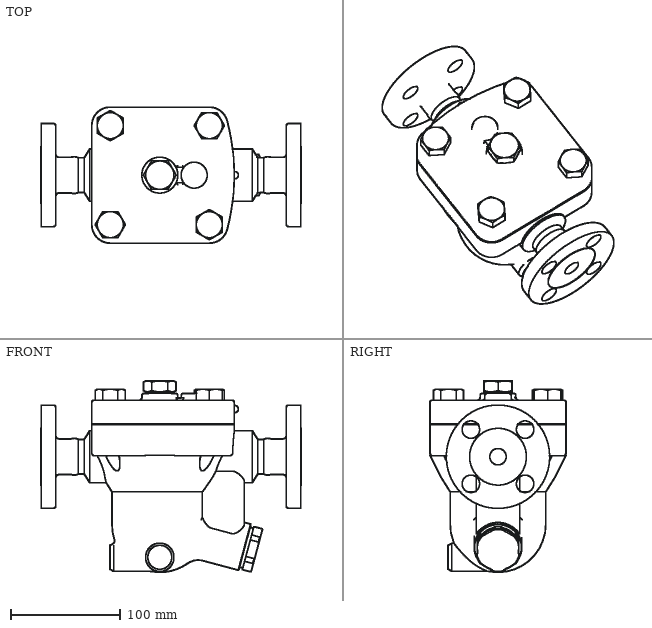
import cadquery as cq
import math

half_length = 119.5

flange_radius = 95.0 / 2
flange_back = 105.6
raised_face_radius = 26.0
raised_face_height = 0.5
flange_edge_fillet = 2.5
bolt_hole_diameter = 16.0
bolt_hole_offset = 24.9
bore_diameter = 15.0

neck_radius = 33.0 / 2
neck_fillet = 2.9
weld_start = 91.5
weld_end = 85.0
weld_bulge = 0.5
stub_radius = 32.0 / 2
boss_cone_start = 79.5
boss_cone_end = 74.5
pipe_boss_radius = 48.0 / 2

bowl_x = -10.3
bowl_radius = 44.0
bowl_sphere_z = -62.1
bowl_top_z = -32.3
funnel_mid_z = -19.1
funnel_top_z = 1.2
funnel_mid_radius = 52.3
funnel_top_radius = 62.4

bolt_half_pitch = 45.5
cover_half_y = 125.0 / 2
cover_corner_radius = cover_half_y - bolt_half_pitch
cover_left = bowl_x - cover_half_y
cover_right = 58.0
cover_top_z = 51.9
cover_bottom_z = 0.7
joint_z = 29.9
joint_gap = 0.7
joint_depth = 1.0
cover_top_fillet = 2.2
cover_bottom_fillet = 3.0

hex_chamfer_angle = math.radians(30)
bolt_head_width = 24.0
bolt_head_height = 10.0
spot_radius = 8.8
spot_depth = 19.1

centre_boss_radius = 33.0 / 2
side_boss_radius = 24.0 / 2
side_boss_x = 21.3
boss_top_z = 58.0
boss_top_fillet = 2.0
boss_foot_fillet = 2.6
bridge_half_width = 7.2
bridge_top_z = 54.0
plug_width = 26.0
plug_base_z = 59.5
plug_top_z = 69.5
plug_neck_radius = 21.0 / 2

pin_radius = 3.3
pin_x = 58.5
pin_z = 43.7

web_half_width = 20.0
web_end_x = 67.5
web_corner_radius = 12.0

drain_tilt = 15.0
drain_radius = 44.0 / 2
drain_length = 80.8
drain_rim_chamfer = 0.5
drain_foot_fillet = 16.7
drain_seal_radius = 38.0 / 2
drain_head_gap = 3.0
drain_head_width = 38.0
drain_head_corner_radius = 20.5
drain_head_height = 8.4
drain_head_chamfer = 0.7

foot_radius = 26.0 / 2
foot_shoulder_radius = 24.0 / 2
foot_face_radius = 22.0 / 2
foot_shoulder = 2.0
foot_bevel = 3.5
foot_z = -92.3
foot_reach = 46.0
foot_root_fillet = 3.0

overlap = 2.5
arc_sag = 1 - math.sqrt(0.5)


def cylinder(radius, z_low, z_high, x=0.0, y=0.0):
    return cq.Workplane("XY", origin=(x, y, z_low)).circle(radius).extrude(z_high - z_low)


def hex_prism(width, height):
    return cq.Workplane("XY").polygon(6, 2 * width / math.sqrt(3)).extrude(height)


def hex_head(width, height, corner_angle, chamfer_bottom=False):
    """Hexagon head standing on Z = 0, with one corner at corner_angle.

    The top is chamfered at 30 degrees, and the bottom too if asked for.
    """
    corner_radius = width / math.sqrt(3)
    drop = (corner_radius - width / 2) * math.tan(hex_chamfer_angle)
    profile = cq.Workplane("XZ").moveTo(0, 0)
    if chamfer_bottom:
        profile = profile.lineTo(width / 2, 0).lineTo(corner_radius, drop)
    else:
        profile = profile.lineTo(corner_radius, 0)
    turned = (
        profile
        .lineTo(corner_radius, height - drop)
        .lineTo(width / 2, height)
        .lineTo(0, height)
        .close()
        .revolve(360, (0, 0, 0), (0, 1, 0))
    )
    head = hex_prism(width, height).intersect(turned)
    return head.rotate((0, 0, 0), (0, 0, 1), corner_angle)


def cover_outline(z, inset=0.0):
    """Rounded rectangle whose +X side bulges as one arc tangent to both corners."""
    r = cover_corner_radius
    corner_y = bolt_half_pitch
    corner_x = bowl_x + bolt_half_pitch
    span = cover_right - corner_x
    bulge_radius = (corner_y**2 + span**2 - r**2) / (2 * (span - r))
    bulge_x = cover_right - bulge_radius
    angle = math.atan2(corner_y, corner_x - bulge_x)
    join = (bulge_x + bulge_radius * math.cos(angle), bulge_radius * math.sin(angle))
    mid = (corner_x + r * math.cos((angle + math.pi / 2) / 2),
           corner_y + r * math.sin((angle + math.pi / 2) / 2))
    left_x = cover_left + r
    diagonal = r * math.sqrt(0.5)
    outline = (
        cq.Workplane("XY", origin=(0, 0, z))
        .moveTo(left_x, -cover_half_y)
        .lineTo(corner_x, -cover_half_y)
        .threePointArc((mid[0], -mid[1]), (join[0], -join[1]))
        .threePointArc((cover_right, 0), join)
        .threePointArc(mid, (corner_x, cover_half_y))
        .lineTo(left_x, cover_half_y)
        .threePointArc((left_x - diagonal, corner_y + diagonal), (cover_left, corner_y))
        .lineTo(cover_left, -corner_y)
        .threePointArc((left_x - diagonal, -corner_y - diagonal), (left_x, -cover_half_y))
        .close()
    )
    return outline.offset2D(-inset) if inset else outline


def block():
    solid = cover_outline(cover_bottom_z).extrude(cover_top_z - cover_bottom_z)
    solid = solid.faces(">Z").edges().fillet(cover_top_fillet)
    solid = solid.faces("<Z").edges().fillet(cover_bottom_fillet)
    joint_low = joint_z - joint_gap / 2
    ring = cover_outline(joint_low).extrude(joint_gap)
    ring = ring.cut(cover_outline(joint_low, joint_depth).extrude(joint_gap))
    return solid.cut(ring)


def bowl():
    barrel = cylinder(bowl_radius, bowl_sphere_z, bowl_top_z, bowl_x)
    ball = cq.Workplane("XY").sphere(bowl_radius).translate((bowl_x, 0, bowl_sphere_z))
    return barrel.union(ball)


def funnel():
    """Two cone frustums widening from the barrel to the cover."""
    return (
        cq.Workplane("XZ")
        .moveTo(0, bowl_top_z)
        .lineTo(bowl_radius, bowl_top_z)
        .lineTo(funnel_mid_radius, funnel_mid_z)
        .lineTo(funnel_top_radius, funnel_top_z)
        .lineTo(0, funnel_top_z)
        .close()
        .revolve(360, (0, 0, 0), (0, 1, 0))
        .translate((bowl_x, 0, 0))
    )


def pipe_end():
    flange_front = half_length - raised_face_height
    fillet_drop = neck_fillet * arc_sag
    edge_drop = flange_edge_fillet * arc_sag
    neck_end = flange_back - neck_fillet
    weld_mid = (weld_start + weld_end) / 2
    solid = (
        cq.Workplane("XY")
        .moveTo(0, 0)
        .lineTo(-half_length, 0)
        .lineTo(-half_length, raised_face_radius)
        .lineTo(-flange_front, raised_face_radius)
        .lineTo(-flange_front, flange_radius)
        .lineTo(-flange_back - flange_edge_fillet, flange_radius)
        .threePointArc(
            (-flange_back - edge_drop, flange_radius - edge_drop),
            (-flange_back, flange_radius - flange_edge_fillet),
        )
        .lineTo(-flange_back, neck_radius + neck_fillet)
        .threePointArc(
            (-flange_back + fillet_drop, neck_radius + fillet_drop), (-neck_end, neck_radius)
        )
        .lineTo(-weld_start, neck_radius)
        .threePointArc((-weld_mid, neck_radius + weld_bulge), (-weld_end, stub_radius))
        .lineTo(-boss_cone_start, stub_radius)
        .lineTo(-boss_cone_end, pipe_boss_radius)
        .lineTo(0, pipe_boss_radius)
        .close()
        .revolve(360, (0, 0, 0), (1, 0, 0))
    )
    face = cq.Workplane("YZ", origin=(-half_length, 0, 0))
    bolt_holes = (
        face.rect(2 * bolt_hole_offset, 2 * bolt_hole_offset, forConstruction=True)
        .vertices()
        .circle(bolt_hole_diameter / 2)
        .extrude(half_length - flange_back)
    )
    return solid.cut(bolt_holes)


def bore():
    start = cq.Workplane("YZ", origin=(-half_length, 0, 0))
    return start.circle(bore_diameter / 2).extrude(half_length - boss_cone_start)


def boss_with_foot(radius, x):
    """Round boss with a rounded top and a concave fillet onto the cover."""
    drop = boss_foot_fillet * arc_sag
    top_drop = boss_top_fillet * arc_sag
    foot_top = cover_top_z + boss_foot_fillet
    return (
        cq.Workplane("XZ")
        .moveTo(0, cover_top_z - overlap)
        .lineTo(radius + boss_foot_fillet, cover_top_z - overlap)
        .lineTo(radius + boss_foot_fillet, cover_top_z)
        .threePointArc((radius + drop, cover_top_z + drop), (radius, foot_top))
        .lineTo(radius, boss_top_z - boss_top_fillet)
        .threePointArc((radius - top_drop, boss_top_z - top_drop), (radius - boss_top_fillet, boss_top_z))
        .lineTo(0, boss_top_z)
        .close()
        .revolve(360, (0, 0, 0), (0, 1, 0))
        .translate((x, 0, 0))
    )


def boss_bridge():
    """Low web joining the two bosses, flared at the bottom like them."""
    flare = bridge_top_z - cover_top_z
    drop = flare * arc_sag
    foot = bridge_half_width + flare
    return (
        cq.Workplane("YZ", origin=(bowl_x, 0, 0))
        .moveTo(-foot, cover_top_z - overlap)
        .lineTo(foot, cover_top_z - overlap)
        .lineTo(foot, cover_top_z)
        .threePointArc((bridge_half_width + drop, cover_top_z + drop), (bridge_half_width, bridge_top_z))
        .lineTo(-bridge_half_width, bridge_top_z)
        .threePointArc((-bridge_half_width - drop, cover_top_z + drop), (-foot, cover_top_z))
        .close()
        .extrude(side_boss_x - bowl_x)
    )


def cover_plug():
    head = hex_head(plug_width, plug_top_z - plug_base_z, 0, chamfer_bottom=True)
    neck = cylinder(plug_neck_radius, boss_top_z - overlap, plug_base_z + overlap, bowl_x)
    return neck.union(head.translate((bowl_x, 0, plug_base_z)))


def pin():
    return cq.Workplane("XY").sphere(pin_radius).translate((pin_x, 0, pin_z))


def drain():
    """Drain along +X from the origin, blended onto the bowl sphere and closed by a hexagon plug."""
    blend_x = math.sqrt((bowl_radius + drain_foot_fillet)**2 - (drain_radius + drain_foot_fillet)**2)
    centre_y = drain_radius + drain_foot_fillet
    touch = bowl_radius / (bowl_radius + drain_foot_fillet)
    start_angle = math.atan2(-centre_y, -blend_x) % (2 * math.pi)
    mid_angle = (start_angle + 1.5 * math.pi) / 2
    blend_mid = (blend_x + drain_foot_fillet * math.cos(mid_angle),
                 centre_y + drain_foot_fillet * math.sin(mid_angle))
    head_x = drain_length + drain_head_gap
    barrel = (
        cq.Workplane("XY")
        .moveTo(0, 0)
        .lineTo(blend_x * touch, centre_y * touch)
        .threePointArc(blend_mid, (blend_x, drain_radius))
        .lineTo(drain_length - drain_rim_chamfer, drain_radius)
        .lineTo(drain_length, drain_radius - drain_rim_chamfer)
        .lineTo(drain_length, drain_seal_radius)
        .lineTo(head_x, drain_seal_radius)
        .lineTo(head_x, 0)
        .close()
        .revolve(360, (0, 0, 0), (1, 0, 0))
    )
    head = (
        hex_prism(drain_head_width, drain_head_height)
        .intersect(
            cylinder(drain_head_corner_radius, 0, drain_head_height)
            .faces(">Z").chamfer(drain_head_chamfer)
        )
        .rotate((0, 0, 0), (0, 1, 0), 90)
        .translate((head_x, 0, 0))
    )
    return (
        barrel.union(head)
        .rotate((0, 0, 0), (0, 1, 0), drain_tilt)
        .translate((bowl_x, 0, bowl_sphere_z))
    )


def web():
    """Upright web from the pipe axis down to the sloping drain axis."""
    web_bottom = bowl_sphere_z - (web_end_x - bowl_x) * math.tan(math.radians(drain_tilt))
    solid = (
        cq.Workplane("XY")
        .box(web_end_x - bowl_x, 2 * web_half_width, -web_bottom, centered=(False, True, False))
        .translate((bowl_x, 0, web_bottom))
        .edges("|Z and >X")
        .fillet(web_corner_radius)
    )
    below_drain = (
        cq.Workplane("XZ")
        .moveTo(bowl_x, bowl_sphere_z)
        .lineTo(web_end_x, web_bottom)
        .lineTo(bowl_x, web_bottom)
        .close()
        .extrude(web_half_width, both=True)
    )
    return solid.cut(below_drain)


def foot():
    """Foot stub along -Y from the bowl axis, bevelled twice at its free end."""
    return (
        cq.Workplane("XY")
        .moveTo(0, 0)
        .lineTo(foot_radius, 0)
        .lineTo(foot_radius, foot_bevel - foot_reach)
        .lineTo(foot_shoulder_radius, foot_shoulder - foot_reach)
        .lineTo(foot_face_radius, -foot_reach)
        .lineTo(0, -foot_reach)
        .close()
        .revolve(360, (0, 0, 0), (0, 1, 0))
        .translate((bowl_x, 0, foot_z))
    )


def foot_to_left():
    return foot().rotate((bowl_x, 0, 0), (bowl_x, 0, 1), -90)


result = bowl().union(foot_to_left())
result = result.edges("%BSPLINE").fillet(foot_root_fillet)
result = result.union(foot())
result = result.union(web()).union(drain()).union(funnel())

bolt_signs = [(side_x, side_y) for side_x in (-1, 1) for side_y in (-1, 1)]
for side_x, side_y in bolt_signs:
    bolt_x = bowl_x + side_x * bolt_half_pitch
    bolt_y = side_y * bolt_half_pitch
    spot_bottom = cover_bottom_z - spot_depth
    spot = cylinder(spot_radius, spot_bottom, cover_bottom_z + overlap, bolt_x, bolt_y)
    result = result.cut(spot)

result = result.union(block())
for side_x, side_y in bolt_signs:
    bolt_x = bowl_x + side_x * bolt_half_pitch
    bolt_y = side_y * bolt_half_pitch
    corner_angle = 0 if side_x == side_y else 90
    head = hex_head(bolt_head_width, bolt_head_height, corner_angle)
    result = result.union(head.translate((bolt_x, bolt_y, cover_top_z)))

left_end = pipe_end()
right_end = left_end.mirror("YZ")
result = result.union(left_end).union(right_end)
result = result.cut(bore()).cut(bore().mirror("YZ"))

result = result.union(boss_with_foot(centre_boss_radius, bowl_x))
result = result.union(boss_with_foot(side_boss_radius, side_boss_x))
result = result.union(boss_bridge()).union(cover_plug()).union(pin())